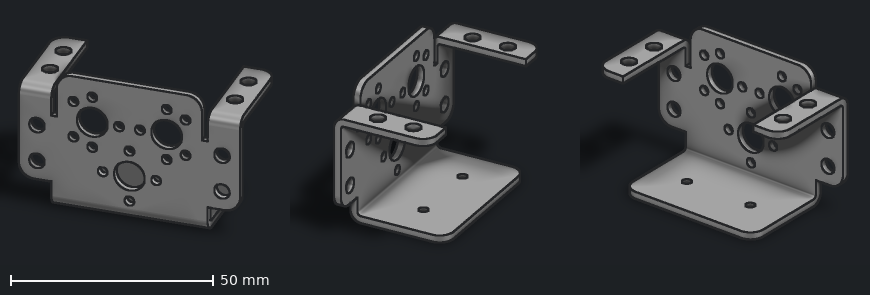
import cadquery as cq

thickness = 2.0
bend_inner_radius = 1.0
bend_outer_radius = bend_inner_radius + thickness
corner_radius = 4.0
total_width = 58.0
flange_depth = 27.0

lower_flange_width = 41.0
web_tab_width = 38.0
web_height = 37.5
ear_bottom_z = 7.0
ear_top_z = 33.0
relief_bottom_z = 25.5
ear_width = (total_width - lower_flange_width) / 2

large_hole_diameter = 8.0
small_hole_diameter = 2.5
small_hole_circle_radius = 7.0
upper_hole_x = 9.75
upper_hole_z = 25.5
lower_hole_z = 12.14
right_upper_angles = (45, 90, 180, 270, 315)
left_upper_angles = (0, 90, 135, 225, 270)
lower_angles = (0, 90, 180, 270)

ear_hole_diameter = 4.0
ear_hole_x = 24.25
ear_hole_spacing = 10.0
ear_hole_web_z = (lower_hole_z, lower_hole_z + ear_hole_spacing)
ear_hole_flange_start_y = 9.86
ear_hole_flange_y = (ear_hole_flange_start_y, ear_hole_flange_start_y + ear_hole_spacing)
lower_flange_hole_x = 10.0
lower_flange_hole_y = ear_hole_flange_start_y + ear_hole_spacing / 2


def box(x_min, x_max, y_min, y_max, z_min, z_max):
    size = (x_max - x_min, y_max - y_min, z_max - z_min)
    return cq.Workplane("XY").box(*size, centered=False).translate((x_min, y_min, z_min))


def angle_strip(x_min, width, web_length):
    """L-shaped bent strip: flange on Z = 0, web on Y = 0 rising to web_length."""
    return (
        cq.Workplane("YZ", origin=(x_min, 0, 0))
        .moveTo(flange_depth, 0)
        .lineTo(bend_outer_radius, 0)
        .radiusArc((0, bend_outer_radius), bend_outer_radius)
        .lineTo(0, web_length)
        .lineTo(thickness, web_length)
        .lineTo(thickness, bend_outer_radius)
        .radiusArc((bend_outer_radius, thickness), -bend_inner_radius)
        .lineTo(flange_depth, thickness)
        .close()
        .extrude(width)
    )


def make_lower_angle():
    """Lower flange with the web part between the ears, up to the relief slots."""
    strip = angle_strip(-lower_flange_width / 2, lower_flange_width, relief_bottom_z)
    return strip.edges("|Z and >Y").fillet(corner_radius)


def make_web_tab():
    """Upper part of the web, narrower than the lower flange to leave the relief slots."""
    tab = box(-web_tab_width / 2, web_tab_width / 2, 0, thickness, relief_bottom_z, web_height)
    return tab.edges("|Y and >Z").fillet(corner_radius)


def make_right_ear():
    """Ear beside the web, bent back at its top and rounded at its outer corners."""
    strip = angle_strip(lower_flange_width / 2, ear_width, ear_top_z - ear_bottom_z)
    ear = strip.mirror("XY").translate((0, 0, ear_top_z))
    ear = ear.edges("|Z and >Y and >X").fillet(corner_radius)
    return ear.edges("|Y and <Z and >X").fillet(corner_radius)


def web_holes(points, diameter):
    """Cutters through the web at the given (x, z) points."""
    return cq.Workplane("XZ").pushPoints(points).circle(diameter / 2).extrude(-thickness)


def flange_holes(points, diameter, bottom_z):
    """Cutters through a flange whose lower face is at bottom_z."""
    plane = cq.Workplane("XY", origin=(0, 0, bottom_z))
    return plane.pushPoints(points).circle(diameter / 2).extrude(thickness)


def cut_hole_group(body, center_x, center_z, angles):
    """Large web hole with small holes around it at the given angles."""
    body = body.cut(web_holes([(center_x, center_z)], large_hole_diameter))
    for angle in angles:
        small_hole = web_holes([(center_x + small_hole_circle_radius, center_z)], small_hole_diameter)
        axis_start = (center_x, 0, center_z)
        axis_end = (center_x, -1, center_z)
        body = body.cut(small_hole.rotate(axis_start, axis_end, angle))
    return body


right_ear = make_right_ear()
body = make_lower_angle().union(make_web_tab()).union(right_ear).union(right_ear.mirror("YZ"))

body = cut_hole_group(body, upper_hole_x, upper_hole_z, right_upper_angles)
body = cut_hole_group(body, -upper_hole_x, upper_hole_z, left_upper_angles)
body = cut_hole_group(body, 0, lower_hole_z, lower_angles)

ear_web_points = [(side * ear_hole_x, z) for side in (-1, 1) for z in ear_hole_web_z]
ear_flange_points = [(side * ear_hole_x, y) for side in (-1, 1) for y in ear_hole_flange_y]
lower_flange_points = [(side * lower_flange_hole_x, lower_flange_hole_y) for side in (-1, 1)]
body = body.cut(web_holes(ear_web_points, ear_hole_diameter))
body = body.cut(flange_holes(ear_flange_points, ear_hole_diameter, ear_top_z - thickness))
body = body.cut(flange_holes(lower_flange_points, small_hole_diameter, 0))

result = body